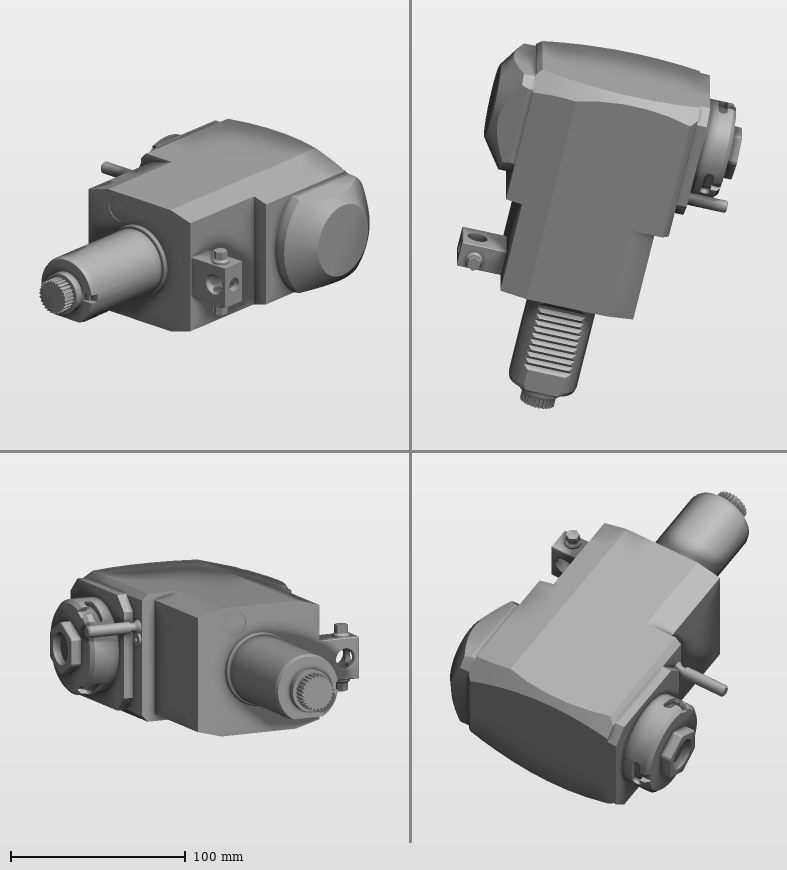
import cadquery as cq
import math


HEIGHT = 75.0
HALF_HEIGHT = HEIGHT / 2
NECK_HALF_WIDTH = 39.0
RIDGE_X = 23.8
SIDE_SLOPE_ANGLE = 15
SIDE_SLOPE = math.tan(math.radians(SIDE_SLOPE_ANGLE))
HEAD_LEFT_X = -47.2
HEAD_RIGHT_X = 48.5
HEAD_FRONT_Y = 54.8
HEAD_BACK_Y = 134.0
HEAD_LEFT_CHAMFER = 3.8
HEAD_CORNER_CHAMFER = 3.0
BACK_CONE_RADIUS = 121.2
BACK_CONE_X = -9.6
BACK_CONE_INSET = 4.0
PLUG_X = -15.7
PLUG_Z = 27.8
PLUG_RADIUS = 7.5
PLUG_RECESS = 0.5

PLATE_THICKNESS = 5.9
PLATE_SIDE = 67.7
PLATE_CHAMFER = 8.5
PLATE_X = HEAD_LEFT_X - PLATE_THICKNESS
SPINDLE_Y = HEAD_BACK_Y - PLATE_SIDE / 2
NUT_LENGTH = 17.3
NUT_RADIUS = 27.5
NUT_CHAMFER = 2
NUT_X = PLATE_X - NUT_LENGTH
NUT_SLOT_COUNT = 3
NUT_SLOT_LENGTH = 18.5
NUT_SLOT_WIDTH = 5.5
NUT_SLOT_SETBACK = 8.2
NUT_NOTCH_WIDTH = 6.3
NUT_SLOT_DEPTH = 3.3
HEX_LENGTH = 6.3
HEX_ACROSS_FLATS = 27.2
HEX_TURNED_RADIUS = 15.3
HEX_CHAMFER = 0.5
HEX_BORE_RADIUS = 9.6
HEX_BORE_DEPTH = 4.8

COVER_RADIUS = 37.6
COVER_TIP_RADIUS = 21.5
COVER_CONE_X = 55.4
COVER_TIP_X = 67.0
COVER_BACK_Y = 129.5
COVER_FLAT_Z = 29.5
COVER_SLOPE_X = 51.6

PIN_Y = 59.8
PIN_Z = 17.5
PIN_TIP_X = -80.3
PIN_RADIUS = 3.5
PIN_CHAMFER = 0.8
PIN_BACK_X = -53.3
PIN_NECK_RADIUS = 2.5
PIN_NECK_END_X = -50.0
PIN_BASE_RADIUS = 4.2
PIN_BASE_LENGTH = 0.6
NOZZLE_Z = 10.5
NOZZLE_HEIGHT = 1.3
NOZZLE_BORE_RADIUS = 1.3

FLANGE_RADIUS = 21.5
FLANGE_LENGTH = 2.5
FLANGE_FILLET = 1.0
SHANK_RADIUS = 20.0
RELIEF_RADIUS = 19.5
RELIEF_END_Y = -3.8
SHANK_END_Y = -63.0
SHANK_CHAMFER_LENGTH = 2.5
SHANK_CHAMFER_DEPTH = 0.8
COLLAR_RADIUS = 12.1
COLLAR_END_Y = -67.7
KEYWAY_WIDTH = 4.8
KEYWAY_DEPTH = 4.2
KEYWAY_STEP_RADIUS = 15.3
KEYWAY_STEP_DEPTH = 2
RACK_START_Y = -5.2
RACK_FIRST_GROOVE_Y = -12.5
RACK_TIP_Z = -14.5
RACK_ROOT_Z = -16.3
RACK_PITCH = 4.0
RACK_GROOVES = 9
FLAT_Z = -16.7

SPLINE_END_Y = -75.0
SPLINE_TEETH = 26
SPLINE_RADIUS = 10.0
SPLINE_ROOT_RADIUS = 9.2
SPLINE_TIP_SHARE = 0.4
SPLINE_BASE_SHARE = 0.6

BLOCK_RIGHT_X = 65.0
BLOCK_FRONT_Y = 1.0
BLOCK_BACK_Y = 15.9
BLOCK_HEIGHT = 24.5
BLOCK_CHAMFER = 0.5
BLOCK_BORE_X = 56.2
BLOCK_BORE_RADIUS = 5.9
BLOCK_BORE_CHAMFER = 0.5
BLOCK_PORT_RADIUS = 4.2
SCREW_BORE_RADIUS = 4.2
SCREW_BORE_END_Z = 6.3
SCREW_Y = 6.7
SCREW_FLANGE_RADIUS = 5.0
SCREW_FLANGE_HEIGHT = 2.3
SCREW_FLANGE_CHAMFER = 1.0
SCREW_HEX_DIAMETER = 8.0
SCREW_HEIGHT = 7.1


def plane_at_y(y):
    """Workplane in X and Z; extrusions run along -Y, negative ones along +Y."""
    return cq.Workplane("XZ", origin=(0, y, 0))


def plane_at_x(x, y=SPINDLE_Y, z=0):
    """Workplane in Y and Z whose extrusion runs along +X."""
    return cq.Workplane("YZ", origin=(x, y, z))


def box_between(x_range, y_range, z_range):
    """Axis-aligned box from its (low, high) range along each axis."""
    lows, highs = zip(x_range, y_range, z_range)
    size = [high - low for low, high in zip(lows, highs)]
    return cq.Workplane("XY").box(*size, centered=False).translate(lows)


def mirrored_profile(upper_points):
    """Upper outline points from left to right, repeated below Z = 0."""
    return upper_points + [(x, -z) for x, z in reversed(upper_points)]


def slope_height(x):
    """Height of the side slope at a distance x from the shank axis."""
    return HALF_HEIGHT - (x - RIDGE_X) * SIDE_SLOPE


def make_neck():
    edge_z = slope_height(NECK_HALF_WIDTH)
    upper = [
        (-NECK_HALF_WIDTH, edge_z),
        (-RIDGE_X, HALF_HEIGHT),
        (RIDGE_X, HALF_HEIGHT),
        (NECK_HALF_WIDTH, edge_z),
    ]
    neck = plane_at_y(0).polyline(mirrored_profile(upper)).close().extrude(-HEAD_FRONT_Y)
    recess = plane_at_y(0).center(PLUG_X, PLUG_Z).circle(PLUG_RADIUS).extrude(-PLUG_RECESS)
    return neck.cut(recess)


def make_head():
    upper = [
        (HEAD_LEFT_X, HALF_HEIGHT - HEAD_LEFT_CHAMFER),
        (HEAD_LEFT_X + HEAD_LEFT_CHAMFER, HALF_HEIGHT),
        (RIDGE_X, HALF_HEIGHT),
        (HEAD_RIGHT_X, slope_height(HEAD_RIGHT_X)),
    ]
    head = plane_at_y(HEAD_FRONT_Y).polyline(mirrored_profile(upper)).close()
    head = head.extrude(HEAD_FRONT_Y - HEAD_BACK_Y)
    head = head.faces(">X").edges(">Y").chamfer(HEAD_CORNER_CHAMFER)

    waist_radius = BACK_CONE_RADIUS + HALF_HEIGHT
    cone_y = HEAD_BACK_Y - BACK_CONE_INSET - BACK_CONE_RADIUS
    bevel = (
        cq.Workplane("XZ")
        .polyline([
            (0, -HALF_HEIGHT),
            (BACK_CONE_RADIUS, -HALF_HEIGHT),
            (waist_radius, 0),
            (BACK_CONE_RADIUS, HALF_HEIGHT),
            (0, HALF_HEIGHT),
        ])
        .close()
        .revolve(360, (0, 0, 0), (0, 1, 0))
        .translate((BACK_CONE_X, cone_y, 0))
    )
    return head.intersect(bevel)


def make_plate():
    plate = plane_at_x(PLATE_X).rect(PLATE_SIDE, PLATE_SIDE).extrude(PLATE_THICKNESS)
    return plate.edges("|X").chamfer(PLATE_CHAMFER)


def make_nut():
    nut = plane_at_x(NUT_X).circle(NUT_RADIUS).extrude(NUT_LENGTH)
    nut = nut.faces("<X").chamfer(NUT_CHAMFER)

    floor_radius = NUT_RADIUS - NUT_SLOT_DEPTH
    slot_x = NUT_X + NUT_SLOT_SETBACK
    axis_plane = cq.Plane(origin=(slot_x, SPINDLE_Y, 0), xDir=(0, 0, 1), normal=(0, 1, 0))
    slot = cq.Workplane(axis_plane).slot2D(NUT_SLOT_LENGTH, NUT_SLOT_WIDTH).extrude(NUT_RADIUS)
    slot = slot.cut(plane_at_x(NUT_X).circle(floor_radius).extrude(NUT_LENGTH))
    notch = box_between(
        (NUT_X, slot_x),
        (SPINDLE_Y + floor_radius, SPINDLE_Y + NUT_RADIUS),
        (-NUT_NOTCH_WIDTH / 2, NUT_NOTCH_WIDTH / 2),
    )
    cutter = slot.union(notch)
    for index in range(NUT_SLOT_COUNT):
        angle = index * 360 / NUT_SLOT_COUNT
        nut = nut.cut(cutter.rotate((0, SPINDLE_Y, 0), (1, SPINDLE_Y, 0), angle))
    return nut


def make_hexagon():
    hex_x = NUT_X - HEX_LENGTH
    corner_diameter = HEX_ACROSS_FLATS / math.cos(math.radians(30))
    hexagon = plane_at_x(hex_x).transformed(rotate=(0, 0, 90)).polygon(6, corner_diameter)
    hexagon = hexagon.extrude(HEX_LENGTH)
    turned = plane_at_x(hex_x).circle(HEX_TURNED_RADIUS).extrude(HEX_LENGTH)
    bore = plane_at_x(hex_x).circle(HEX_BORE_RADIUS).extrude(HEX_BORE_DEPTH)
    hexagon = hexagon.intersect(turned).faces("<X").chamfer(HEX_CHAMFER)
    return hexagon.cut(bore)


def make_cover():
    cover = (
        cq.Workplane("XY")
        .polyline([
            (HEAD_RIGHT_X, 0),
            (HEAD_RIGHT_X, COVER_RADIUS),
            (COVER_CONE_X, COVER_RADIUS),
            (COVER_TIP_X, COVER_TIP_RADIUS),
            (COVER_TIP_X, 0),
        ])
        .close()
        .revolve(360, (0, 0, 0), (1, 0, 0))
        .translate((0, SPINDLE_Y, 0))
    )
    tip_z = COVER_FLAT_Z - (COVER_TIP_X - COVER_SLOPE_X) * SIDE_SLOPE
    upper = [
        (HEAD_RIGHT_X, COVER_FLAT_Z),
        (COVER_SLOPE_X, COVER_FLAT_Z),
        (COVER_TIP_X, tip_z),
    ]
    envelope = plane_at_y(COVER_BACK_Y).polyline(mirrored_profile(upper)).close()
    return cover.intersect(envelope.extrude(COVER_BACK_Y))


def make_coolant_pin():
    base_x = HEAD_LEFT_X - PIN_BASE_LENGTH
    pin = (
        cq.Workplane("XY")
        .polyline([
            (PIN_TIP_X, 0),
            (PIN_TIP_X, PIN_RADIUS - PIN_CHAMFER),
            (PIN_TIP_X + PIN_CHAMFER, PIN_RADIUS),
            (PIN_BACK_X, PIN_RADIUS),
            (PIN_BACK_X, PIN_NECK_RADIUS),
            (PIN_NECK_END_X, PIN_NECK_RADIUS),
            (base_x, PIN_BASE_RADIUS),
            (HEAD_LEFT_X, PIN_BASE_RADIUS),
            (HEAD_LEFT_X, 0),
        ])
        .close()
        .revolve(360, (0, 0, 0), (1, 0, 0))
    )
    return pin.translate((0, PIN_Y, PIN_Z))


def make_nozzle():
    nozzle = plane_at_x(HEAD_LEFT_X - NOZZLE_HEIGHT, PIN_Y, NOZZLE_Z).circle(PIN_BASE_RADIUS)
    nozzle = nozzle.circle(NOZZLE_BORE_RADIUS)
    return nozzle.extrude(NOZZLE_HEIGHT)


def make_rack_cutter():
    """Space below the row of V grooves and the plain flat that follows it."""
    below_z = -FLANGE_RADIUS
    ramp_end_y = RACK_START_Y - (RACK_TIP_Z + SHANK_RADIUS)
    outline = [(RACK_START_Y, below_z), (RACK_START_Y, -SHANK_RADIUS), (ramp_end_y, RACK_TIP_Z)]
    for index in range(RACK_GROOVES):
        groove_y = RACK_FIRST_GROOVE_Y - index * RACK_PITCH
        outline.append((groove_y, RACK_TIP_Z))
        outline.append((groove_y - RACK_PITCH / 2, RACK_ROOT_Z))
    last_y = RACK_FIRST_GROOVE_Y - RACK_GROOVES * RACK_PITCH
    outline.append((last_y, RACK_TIP_Z))
    outline.append((last_y - (RACK_TIP_Z - FLAT_Z), FLAT_Z))
    outline.append((SHANK_END_Y, FLAT_Z))
    outline.append((SHANK_END_Y, below_z))
    cutter = cq.Workplane("YZ").polyline(outline).close()
    return cutter.extrude(SHANK_RADIUS, both=True)


def make_keyway(inner_x, outer_x, depth):
    return box_between(
        (inner_x, outer_x),
        (SHANK_END_Y, SHANK_END_Y + depth),
        (-KEYWAY_WIDTH / 2, KEYWAY_WIDTH / 2),
    )


def make_shank():
    flange = plane_at_y(0).circle(FLANGE_RADIUS).extrude(FLANGE_LENGTH)
    flange = flange.edges("<Y").fillet(FLANGE_FILLET)
    shank = (
        cq.Workplane("XY")
        .polyline([
            (0, 0),
            (RELIEF_RADIUS, 0),
            (RELIEF_RADIUS, RELIEF_END_Y),
            (SHANK_RADIUS, RELIEF_END_Y),
            (SHANK_RADIUS, SHANK_END_Y + SHANK_CHAMFER_LENGTH),
            (SHANK_RADIUS - SHANK_CHAMFER_DEPTH, SHANK_END_Y),
            (COLLAR_RADIUS, SHANK_END_Y),
            (COLLAR_RADIUS, COLLAR_END_Y),
            (0, COLLAR_END_Y),
        ])
        .close()
        .revolve(360, (0, 0, 0), (0, 1, 0))
    )
    outer_keyway = make_keyway(KEYWAY_STEP_RADIUS, SHANK_RADIUS, KEYWAY_DEPTH)
    inner_keyway = make_keyway(COLLAR_RADIUS, KEYWAY_STEP_RADIUS, KEYWAY_STEP_DEPTH)
    shank = shank.cut(make_rack_cutter()).cut(outer_keyway).cut(inner_keyway)
    return shank.union(flange)


def make_spline():
    """Straight teeth; the tip and base shares are fractions of the tooth pitch."""
    pitch_angle = 2 * math.pi / SPLINE_TEETH
    outline = []
    for tooth in range(SPLINE_TEETH):
        for fraction, radius in (
            (-SPLINE_BASE_SHARE / 2, SPLINE_ROOT_RADIUS),
            (-SPLINE_TIP_SHARE / 2, SPLINE_RADIUS),
            (SPLINE_TIP_SHARE / 2, SPLINE_RADIUS),
            (SPLINE_BASE_SHARE / 2, SPLINE_ROOT_RADIUS),
        ):
            angle = (tooth + fraction) * pitch_angle
            outline.append((radius * math.cos(angle), radius * math.sin(angle)))
    spline = plane_at_y(COLLAR_END_Y).polyline(outline).close()
    return spline.extrude(COLLAR_END_Y - SPLINE_END_Y)


def make_coolant_block():
    """Block with a bore along Y, a port along X and a hexagon screw above and below."""
    block = box_between(
        (NECK_HALF_WIDTH, BLOCK_RIGHT_X),
        (BLOCK_FRONT_Y, BLOCK_BACK_Y),
        (-BLOCK_HEIGHT / 2, BLOCK_HEIGHT / 2),
    )
    block = block.edges("|X or (|Z and >X)").chamfer(BLOCK_CHAMFER)
    bore = plane_at_y(BLOCK_BACK_Y).center(BLOCK_BORE_X, 0).circle(BLOCK_BORE_RADIUS)
    block = block.cut(bore.extrude(BLOCK_BACK_Y - BLOCK_FRONT_Y))
    block = block.faces("<Y").edges("%CIRCLE").chamfer(BLOCK_BORE_CHAMFER)
    block_middle_y = (BLOCK_FRONT_Y + BLOCK_BACK_Y) / 2
    port = plane_at_x(NECK_HALF_WIDTH, block_middle_y).circle(BLOCK_PORT_RADIUS)
    block = block.cut(port.extrude(BLOCK_RIGHT_X - NECK_HALF_WIDTH))
    screw_bore = cq.Workplane("XY", origin=(BLOCK_BORE_X, SCREW_Y, 0)).circle(SCREW_BORE_RADIUS)
    block = block.cut(screw_bore.extrude(SCREW_BORE_END_Z, both=True))

    seat = cq.Workplane("XY", origin=(BLOCK_BORE_X, SCREW_Y, BLOCK_HEIGHT / 2))
    screw = seat.circle(SCREW_FLANGE_RADIUS).extrude(SCREW_FLANGE_HEIGHT)
    screw = screw.faces(">Z").chamfer(SCREW_FLANGE_CHAMFER)
    screw_head = seat.transformed(rotate=(0, 0, 30)).polygon(6, SCREW_HEX_DIAMETER)
    screw = screw.union(screw_head.extrude(SCREW_HEIGHT))
    return block.union(screw).union(screw.mirror("XY"))


result = make_neck()
for make_feature in (
    make_head,
    make_plate,
    make_nut,
    make_hexagon,
    make_cover,
    make_coolant_pin,
    make_nozzle,
    make_shank,
    make_spline,
    make_coolant_block,
):
    result = result.union(make_feature())